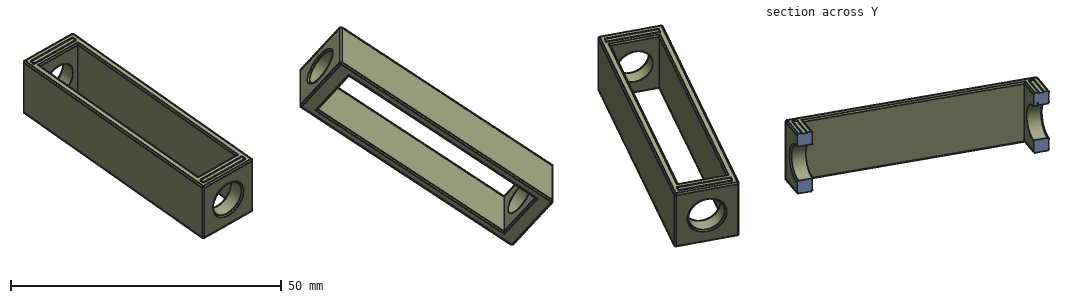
import cadquery as cq

length = 50
width = 12.5
height = 12.5
edge_chamfer = 0.3

side_wall = width / 8
end_wall = width / 4
window_length = length - 2 * end_wall
window_width = width - 2 * side_wall

hole_diameter = 7

recess_length = 10.4
recess_width = 0.95
recess_depth = 0.15
recess_offset = (length - end_wall) / 2


def make_block():
    """Solid bar centred on the origin, with every outer edge chamfered."""
    return cq.Workplane("XY").box(length, width, height).edges().chamfer(edge_chamfer)


def make_window():
    """Through window, flared by a chamfer at its top and bottom rims."""
    window = cq.Workplane("XY").box(window_length, window_width, height)
    for side in (1, -1):
        flare = (
            cq.Workplane("XY", origin=(0, 0, side * height / 2))
            .rect(window_length + 2 * edge_chamfer, window_width + 2 * edge_chamfer)
            .workplane(offset=-side * edge_chamfer)
            .rect(window_length, window_width)
            .loft(ruled=True)
        )
        window = window.union(flare)
    return window


def make_end_holes():
    """Bore along X, with a chamfer where it meets each outer end face."""
    bore = cq.Workplane("YZ").circle(hole_diameter / 2).extrude(length / 2, both=True)
    for side in (1, -1):
        flare = (
            cq.Workplane("YZ", origin=(side * length / 2, 0, 0))
            .circle(hole_diameter / 2 + edge_chamfer)
            .workplane(offset=-side * edge_chamfer)
            .circle(hole_diameter / 2)
            .loft(ruled=True)
        )
        bore = bore.union(flare)
    return bore


def make_label_recesses():
    """Two shallow rectangular pockets, one centred on each end wall."""
    return (
        cq.Workplane("XY", origin=(0, 0, height / 2))
        .pushPoints([(-recess_offset, 0), (recess_offset, 0)])
        .rect(recess_width, recess_length)
        .extrude(-recess_depth)
    )


result = make_block().cut(make_window()).cut(make_end_holes()).cut(make_label_recesses())